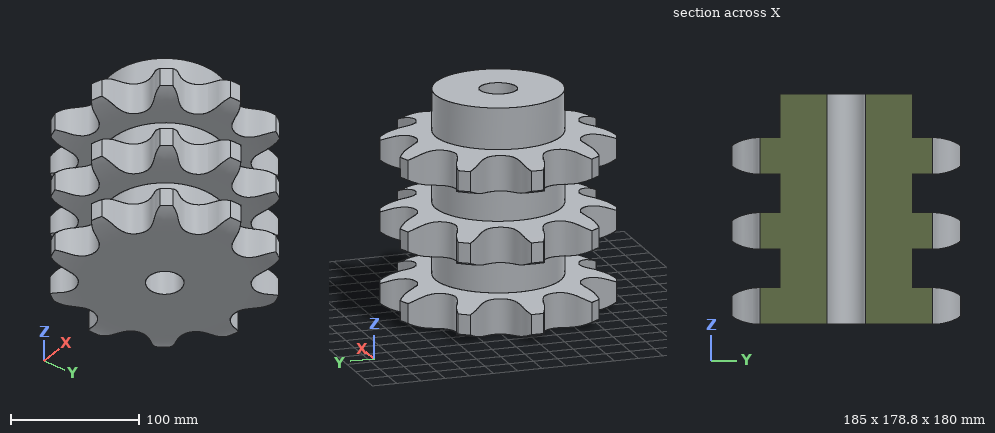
import cadquery as cq
import math

PITCH = 50.8
ROLLER_DIAMETER = 29.21
STRAND_SPACING = 58.55
STRANDS = 3
TEETH = 10

TIP_RADIUS = 92.5
TOOTH_WIDTH = 28.9
CROWN_START_RADIUS = 68.1
CROWN_ARC_RADIUS = PITCH
HUB_DIAMETER = 104.0
BORE_DIAMETER = 30.0
TOTAL_HEIGHT = 180.0

HALF_TOOTH_ANGLE = 180 / TEETH
PITCH_RADIUS = PITCH / (2 * math.sin(math.radians(HALF_TOOTH_ANGLE)))
SEAT_CLEARANCE = 0.038
SEAT_RADIUS = 0.5025 * ROLLER_DIAMETER + SEAT_CLEARANCE
WORKING_OFFSET = 0.8 * ROLLER_DIAMETER
TOPPING_OFFSET = 1.4 * ROLLER_DIAMETER
SEAT_END_ANGLE = 35 + 60 / TEETH
WORKING_SWEEP = 18 - 56 / TEETH

CUT_MARGIN = 5.0


def polar(center, radius, angle):
    """Point at a distance and an angle in degrees from a center."""
    a = math.radians(angle)
    return (center[0] + radius * math.cos(a), center[1] + radius * math.sin(a))


def mirrored(point):
    """The same point on the opposite flank of a gap centered on the Y axis."""
    return (-point[0], point[1])


def tooth_gap():
    """Solid filling the gap between two teeth, centered on the Y axis."""
    seat_center = (0.0, PITCH_RADIUS)
    root = polar(seat_center, SEAT_RADIUS, -90)
    seat_end = polar(seat_center, SEAT_RADIUS, -SEAT_END_ANGLE)

    working_center = polar(seat_center, WORKING_OFFSET, 180 - SEAT_END_ANGLE)
    working_radius = SEAT_RADIUS + WORKING_OFFSET
    flank_angle = WORKING_SWEEP - SEAT_END_ANGLE
    working_mid = polar(working_center, working_radius, flank_angle - WORKING_SWEEP / 2)
    working_end = polar(working_center, working_radius, flank_angle)

    topping_center = polar(seat_center, TOPPING_OFFSET, -HALF_TOOTH_ANGLE)
    normal = polar((0.0, 0.0), 1.0, flank_angle)
    topping_radius = (
        (topping_center[0] - working_end[0]) * normal[0]
        + (topping_center[1] - working_end[1]) * normal[1]
    )
    topping_start = polar(topping_center, topping_radius, flank_angle + 180)

    center_distance = math.hypot(*topping_center)
    center_angle = math.degrees(math.atan2(topping_center[1], topping_center[0]))
    end_radius = TIP_RADIUS + CUT_MARGIN
    swing = math.degrees(math.acos(
        (center_distance**2 + end_radius**2 - topping_radius**2) / (2 * center_distance * end_radius)
    ))
    topping_end = polar((0.0, 0.0), end_radius, center_angle + swing)
    end_angle = math.degrees(math.atan2(
        topping_end[1] - topping_center[1], topping_end[0] - topping_center[0]
    ))
    topping_mid = polar(topping_center, topping_radius, (flank_angle + 180 + end_angle) / 2)
    return (
        cq.Workplane("XY")
        .moveTo(*topping_end)
        .threePointArc(topping_mid, topping_start)
        .lineTo(*working_end)
        .threePointArc(working_mid, seat_end)
        .threePointArc(root, mirrored(seat_end))
        .threePointArc(mirrored(working_mid), mirrored(working_end))
        .lineTo(*mirrored(topping_start))
        .threePointArc(mirrored(topping_mid), mirrored(topping_end))
        .close()
        .extrude(TOOTH_WIDTH)
    )


def crown_drop(radial_run):
    """Depth of the crown arc below the disc face, at a distance past its start."""
    return CROWN_ARC_RADIUS - math.sqrt(CROWN_ARC_RADIUS**2 - radial_run**2)


def crowned_disc():
    """Disc whose rim narrows along an arc on both faces towards the tip circle."""
    run = TIP_RADIUS - CROWN_START_RADIUS
    mid_radius = CROWN_START_RADIUS + run / 2
    mid_drop = crown_drop(run / 2)
    tip_drop = crown_drop(run)
    return (
        cq.Workplane("XZ")
        .lineTo(CROWN_START_RADIUS, 0)
        .threePointArc((mid_radius, mid_drop), (TIP_RADIUS, tip_drop))
        .lineTo(TIP_RADIUS, TOOTH_WIDTH - tip_drop)
        .threePointArc((mid_radius, TOOTH_WIDTH - mid_drop), (CROWN_START_RADIUS, TOOTH_WIDTH))
        .lineTo(0, TOOTH_WIDTH)
        .close()
        .revolve(360, (0, 0, 0), (0, 1, 0))
    )


def toothed_disc():
    """One strand of teeth, with a tooth centered on the X axis."""
    disc = crowned_disc()
    gap = tooth_gap()
    for index in range(TEETH):
        disc = disc.cut(gap.rotate((0, 0, 0), (0, 0, 1), index * 360 / TEETH))
    return disc


def sprocket():
    """Hub with the evenly spaced toothed discs and a through bore."""
    body = cq.Workplane("XY").circle(HUB_DIAMETER / 2).extrude(TOTAL_HEIGHT)
    disc = toothed_disc()
    for strand in range(STRANDS):
        body = body.union(disc.translate((0, 0, strand * STRAND_SPACING)))
    bore = cq.Workplane("XY").circle(BORE_DIAMETER / 2).extrude(TOTAL_HEIGHT)
    return body.cut(bore)


result = sprocket()